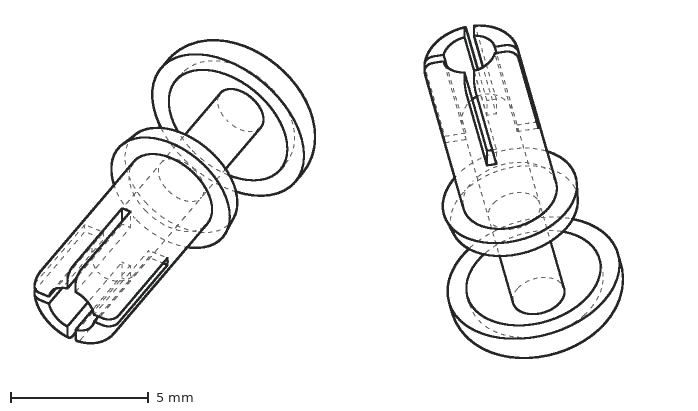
import cadquery as cq
import math

LENGTH = 12.87

HEAD_RADIUS = 3.198
HEAD_HEIGHT = 1.6
HEAD_ROUND = 1.08
RECESS_RADIUS = 2.5
RECESS_DEPTH = 0.9
RECESS_ROUND = 0.51
PIN_RADIUS = 0.97
PIN_REACH = 10.49

FLANGE_OFFSET = 4.97
FLANGE_THICKNESS = 0.77
FLANGE_BACK_RADIUS = 2.37
FLANGE_FRONT_RADIUS = 2.5
BARREL_RADIUS = 1.75
BARREL_ROUND = 0.41
SLOT_WIDTH = 0.35
SLOT_LENGTH = 3.94

CROWN_Y = LENGTH / 2
SLEEVE_TIP_Y = -LENGTH / 2
HEAD_RIM_Y = CROWN_Y - HEAD_HEIGHT
RECESS_FLOOR_Y = HEAD_RIM_Y + RECESS_DEPTH
PIN_TIP_Y = CROWN_Y - PIN_REACH
FLANGE_BACK_Y = CROWN_Y - FLANGE_OFFSET
FLANGE_FRONT_Y = FLANGE_BACK_Y - FLANGE_THICKNESS

ARC_MIDDLE = math.sqrt(0.5)


def revolve_about_y(profile):
    """Turn a closed half profile (radius along X, position along Y) about the Y axis."""
    return profile.close().revolve(360, (0, 0, 0), (0, 1, 0))


def quarter_arc(profile, center, radius, end):
    """Add a convex quarter arc facing +X +Y, finishing at the given end point."""
    middle = (center[0] + radius * ARC_MIDDLE, center[1] + radius * ARC_MIDDLE)
    return profile.threePointArc(middle, end)


def make_pin():
    """Domed head, hollow underneath, on a shank with a hemispherical tip."""
    head_arc_center = (HEAD_RADIUS - HEAD_ROUND, CROWN_Y - HEAD_ROUND)
    recess_arc_center = (RECESS_RADIUS - RECESS_ROUND, RECESS_FLOOR_Y - RECESS_ROUND)
    tip_center_y = PIN_TIP_Y + PIN_RADIUS

    profile = cq.Workplane("XY").moveTo(0, PIN_TIP_Y)
    profile = profile.threePointArc(
        (PIN_RADIUS * ARC_MIDDLE, tip_center_y - PIN_RADIUS * ARC_MIDDLE),
        (PIN_RADIUS, tip_center_y),
    )
    profile = profile.lineTo(PIN_RADIUS, RECESS_FLOOR_Y).lineTo(recess_arc_center[0], RECESS_FLOOR_Y)
    profile = quarter_arc(profile, recess_arc_center, RECESS_ROUND, (RECESS_RADIUS, recess_arc_center[1]))
    profile = profile.lineTo(RECESS_RADIUS, HEAD_RIM_Y).lineTo(HEAD_RADIUS, HEAD_RIM_Y)
    profile = profile.lineTo(HEAD_RADIUS, head_arc_center[1])
    profile = quarter_arc(profile, head_arc_center, HEAD_ROUND, (head_arc_center[0], CROWN_Y))
    return revolve_about_y(profile.lineTo(0, CROWN_Y))


def make_slot_cutter(size_x, size_z):
    """Block that splits the tip of the barrel right across."""
    return cq.Workplane("XY").box(size_x, SLOT_LENGTH, size_z).translate(
        (0, SLEEVE_TIP_Y + SLOT_LENGTH / 2, 0)
    )


def make_sleeve():
    """Tapered flange and barrel, bored for the pin and split into four fingers."""
    round_center = (BARREL_RADIUS - BARREL_ROUND, SLEEVE_TIP_Y + BARREL_ROUND)

    profile = cq.Workplane("XY").moveTo(PIN_RADIUS, SLEEVE_TIP_Y).lineTo(round_center[0], SLEEVE_TIP_Y)
    profile = profile.threePointArc(
        (round_center[0] + BARREL_ROUND * ARC_MIDDLE, round_center[1] - BARREL_ROUND * ARC_MIDDLE),
        (BARREL_RADIUS, round_center[1]),
    )
    profile = profile.lineTo(BARREL_RADIUS, FLANGE_FRONT_Y).lineTo(FLANGE_FRONT_RADIUS, FLANGE_FRONT_Y)
    profile = profile.lineTo(FLANGE_BACK_RADIUS, FLANGE_BACK_Y).lineTo(PIN_RADIUS, FLANGE_BACK_Y)
    sleeve = revolve_about_y(profile)

    slot_span = 2 * FLANGE_FRONT_RADIUS
    for size_x, size_z in ((SLOT_WIDTH, slot_span), (slot_span, SLOT_WIDTH)):
        sleeve = sleeve.cut(make_slot_cutter(size_x, size_z))
    return sleeve


pin = make_pin()
sleeve = make_sleeve()

result = cq.Compound.makeCompound([pin.val(), *sleeve.vals()])